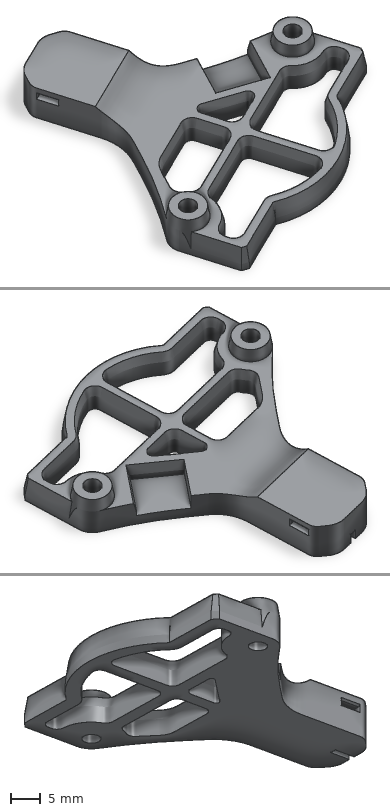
import cadquery as cq
import math


plate_top = 5.0
arm_top = 7.2
boss_top = 7.5
rim_draft_start = 1.5
opening_draft_start = 3.0

rim_draft = 9.0
opening_draft = 15.0

boss_y = 21.92
boss_radius = 3.67
hole_radius = 1.6

half_bend = math.radians(22.5)
half_width = boss_y + boss_radius
right_x = 12.3
dome_radius = 18.31
corner_chamfer = 1.0
flank_end_angle = math.radians(32.5)
flank_start = 12.5
blend_end_y = 9.8
blend_end_x = blend_end_y - 2 * flank_start

overall_length = 56.38
arm_end_x = dome_radius - overall_length
arm_y_low = -6.9
arm_y_high = 7.2
tip_chamfer = 3.0
tip_side_radius = 2.4
tip_end_radius = 4.0
ramp_end_x = -17.15
ramp_radius = 10.0

strap_slot_length = 4.0
strap_slot_x = arm_end_x + tip_chamfer + tip_side_radius * math.tan(half_bend)
strap_slot_floor = 4.5
strap_slot_ceiling = 5.65
strap_slot_flare = 0.35
notch_width = 1.26
notch_height = 2.0
notch_depth = 4.0

pocket_floor = 2.0
pocket_inner_edge = 9.12
pocket_low_end = -0.82
pocket_high_end = 8.97

rib_half_width = 0.7
rim_width = 1.53
rim_top_inset = (plate_top - rim_draft_start) * math.tan(math.radians(rim_draft))
opening_inset = (plate_top - opening_draft_start) * math.tan(math.radians(opening_draft))
opening_right = right_x - rim_top_inset - rim_width
opening_dome_radius = dome_radius - rim_top_inset - rim_width
opening_end_y = 23.75
boss_ring_radius = 5.6
opening_corner_radius = 1.5
opening_shoulder_radius = 3.0
triangle_hypotenuse = 10.9
triangle_tip_radius = 0.62
left_opening_x = -9.62
left_opening_slope = 22.45
left_opening_bend_radius = 3.7


def point_on_circle(center, radius, angle):
    return (center[0] + radius * math.cos(angle), center[1] + radius * math.sin(angle))


def rim_outline(left):
    """Right part of the plate: chamfered corners and the dome, closed by a straight edge at `left`."""
    shoulder_y = math.sqrt(dome_radius**2 - right_x**2)
    return (
        cq.Workplane("XY")
        .moveTo(left, -half_width)
        .lineTo(right_x - corner_chamfer, -half_width)
        .lineTo(right_x, -half_width + corner_chamfer)
        .lineTo(right_x, -shoulder_y)
        .threePointArc((dome_radius, 0), (right_x, shoulder_y))
        .lineTo(right_x, half_width - corner_chamfer)
        .lineTo(right_x - corner_chamfer, half_width)
        .lineTo(left, half_width)
        .close()
    )


def flank_half(side, arm_y):
    """Vertical-walled half of the left part of the part, from the arm to one boss (side is +1 or -1)."""
    boss_center = (0, side * boss_y)
    flank_end = point_on_circle(boss_center, boss_radius, side * (math.pi - flank_end_angle))
    corner_mid_angle = (math.pi - flank_end_angle + math.pi / 2) / 2
    corner_mid = point_on_circle(boss_center, boss_radius, side * corner_mid_angle)
    blend_rise = blend_end_y - abs(arm_y)
    blend_run = blend_rise / math.tan(half_bend)
    tip_side_setback = tip_side_radius * math.tan(half_bend)
    tip_end_setback = tip_end_radius * math.tan(half_bend)
    diagonal = math.sqrt(0.5)
    return (
        cq.Workplane("XY")
        .moveTo(arm_end_x, 0)
        .lineTo(arm_end_x, arm_y - side * (tip_chamfer + tip_end_setback))
        .tangentArcPoint(
            (
                arm_end_x + diagonal * tip_end_setback,
                arm_y - side * (tip_chamfer - diagonal * tip_end_setback),
            ),
            relative=False,
        )
        .lineTo(
            arm_end_x + tip_chamfer - diagonal * tip_side_setback,
            arm_y - side * diagonal * tip_side_setback,
        )
        .tangentArcPoint((arm_end_x + tip_chamfer + tip_side_setback, arm_y), relative=False)
        .lineTo(blend_end_x - blend_run, arm_y)
        .tangentArcPoint((blend_end_x, side * blend_end_y), relative=False)
        .lineTo(-flank_start, side * flank_start)
        .tangentArcPoint(flank_end, relative=False)
        .threePointArc(corner_mid, (0, side * half_width))
        .lineTo(0, 0)
        .close()
        .extrude(boss_top)
    )


def below_top_profile():
    """Side profile of arm, concave ramp and plate, swept across the whole width."""
    ramp_rise = arm_top - plate_top
    ramp_angle = math.acos(1 - ramp_rise / ramp_radius)
    ramp_center = (ramp_end_x, plate_top + ramp_radius)
    ramp_start = point_on_circle(ramp_center, ramp_radius, -math.pi / 2 - ramp_angle)
    ramp_mid = point_on_circle(ramp_center, ramp_radius, -math.pi / 2 - ramp_angle / 2)
    return (
        cq.Workplane("XZ")
        .moveTo(arm_end_x, 0)
        .lineTo(arm_end_x, arm_top)
        .lineTo(*ramp_start)
        .threePointArc(ramp_mid, (ramp_end_x, plate_top))
        .lineTo(dome_radius, plate_top)
        .lineTo(dome_radius, 0)
        .close()
        .extrude(half_width, both=True)
    )


def boss_cone(side):
    """Boss and its drafted root, which runs down to the start of the rim draft."""
    slope = math.tan(math.radians(rim_draft))
    root_radius = boss_radius + (plate_top - rim_draft_start) * slope
    return (
        cq.Workplane("XY", origin=(0, side * boss_y, rim_draft_start))
        .circle(root_radius)
        .extrude(boss_top - rim_draft_start, taper=rim_draft)
    )


def make_body():
    flanks = flank_half(1, arm_y_high).union(flank_half(-1, arm_y_low))
    outline = flanks.union(rim_outline(0).extrude(boss_top))
    drafted_rim = (
        rim_outline(-boss_radius).extrude(plate_top - rim_draft_start, taper=rim_draft)
        .translate((0, 0, rim_draft_start))
    )
    body = flanks.union(rim_outline(0).extrude(rim_draft_start)).union(drafted_rim)
    body = body.intersect(below_top_profile())
    for side in (1, -1):
        body = body.union(boss_cone(side))
    return body.intersect(outline)


def round_corner(core, corner, radius):
    """Fillet the vertical edge of the opening core that stands at `corner`."""
    nearest = cq.selectors.NearestToPointSelector((*corner, opening_draft_start / 2))
    return core.edges(nearest).fillet(radius)


def drafted_opening(core):
    """Through cutter: the straight core, widening from the draft start up to the plate top."""
    flare = (
        core.faces(">Z").wires().toPending()
        .workplane()
        .extrude(plate_top - opening_draft_start, taper=-opening_draft, combine=False)
    )
    return core.union(flare)


def right_opening(side):
    """Large opening between the cross ribs, the dome and one boss."""
    left = rib_half_width + opening_inset
    right = opening_right - opening_inset
    dome = opening_dome_radius - opening_inset
    ring = boss_ring_radius + opening_inset
    end_y = opening_end_y - opening_inset
    ring_left_y = boss_y - math.sqrt(ring**2 - left**2)
    ring_right_x = math.sqrt(ring**2 - (end_y - boss_y) ** 2)
    ring_mid = point_on_circle((0, boss_y), ring, -math.pi / 4)
    dome_start_x = math.sqrt(dome**2 - left**2)
    dome_end_y = math.sqrt(dome**2 - right**2)
    dome_mid = point_on_circle((0, 0), dome, math.atan2(dome_end_y, right) / 2)
    core = (
        cq.Workplane("XY")
        .moveTo(left, left)
        .lineTo(dome_start_x, left)
        .threePointArc(dome_mid, (right, dome_end_y))
        .lineTo(right, end_y)
        .lineTo(ring_right_x, end_y)
        .threePointArc(ring_mid, (left, ring_left_y))
        .close()
        .extrude(opening_draft_start)
    )
    core = round_corner(core, (right, dome_end_y), opening_shoulder_radius)
    for corner in (
        (left, left),
        (dome_start_x, left),
        (right, end_y),
        (ring_right_x, end_y),
        (left, ring_left_y),
    ):
        core = round_corner(core, corner, opening_corner_radius)
    cutter = drafted_opening(core)
    return cutter if side > 0 else cutter.mirror("XZ")


def triangle_opening():
    """Small triangular opening beside the pocket."""
    inset = rib_half_width + opening_inset
    slope = triangle_hypotenuse - opening_inset * math.sqrt(2)
    core = (
        cq.Workplane("XY")
        .moveTo(-inset, inset)
        .lineTo(inset - slope, inset)
        .lineTo(-inset, slope - inset)
        .close()
        .extrude(opening_draft_start)
    )
    core = round_corner(core, (-inset, inset), opening_corner_radius)
    core = round_corner(core, (inset - slope, inset), triangle_tip_radius)
    core = round_corner(core, (-inset, slope - inset), triangle_tip_radius)
    return drafted_opening(core)


def left_opening():
    """Opening between the ribs, the lower flank and the lower boss."""
    left = left_opening_x + opening_inset
    right = -rib_half_width - opening_inset
    slope = left_opening_slope - opening_inset * math.sqrt(2)
    ring = boss_ring_radius + opening_inset
    ring_right_y = -boss_y + math.sqrt(ring**2 - right**2)
    chord_distance = (boss_y - slope) / math.sqrt(2)
    ring_angle = math.radians(45) + math.acos(chord_distance / ring)
    slope_end = point_on_circle((0, -boss_y), ring, ring_angle)
    mid_angle = (ring_angle + math.atan2(ring_right_y + boss_y, right)) / 2
    ring_mid = point_on_circle((0, -boss_y), ring, mid_angle)
    core = (
        cq.Workplane("XY")
        .moveTo(right, right)
        .lineTo(left, right)
        .lineTo(left, -slope - left)
        .lineTo(*slope_end)
        .threePointArc(ring_mid, (right, ring_right_y))
        .close()
        .extrude(opening_draft_start)
    )
    core = round_corner(core, (left, -slope - left), left_opening_bend_radius)
    for corner in ((left, right), (right, right), slope_end, (right, ring_right_y)):
        core = round_corner(core, corner, opening_corner_radius)
    return drafted_opening(core)


def pocket():
    """Square pocket open through the upper flank; only the inner and upper walls are drafted."""
    reach = half_width
    floor_high_end = pocket_high_end - opening_inset
    floor_inner = pocket_inner_edge + opening_inset

    def rectangle(plane, x_high, y_low):
        return (
            plane
            .moveTo(pocket_low_end, y_low)
            .lineTo(x_high, y_low)
            .lineTo(x_high, reach)
            .lineTo(pocket_low_end, reach)
            .close()
        )

    lower = (
        rectangle(cq.Workplane("XY", origin=(0, 0, pocket_floor)), floor_high_end, floor_inner)
        .extrude(opening_draft_start - pocket_floor)
    )
    draft_base = cq.Workplane("XY", origin=(0, 0, opening_draft_start))
    draft_bottom = rectangle(draft_base, floor_high_end, floor_inner)
    draft_top_plane = draft_bottom.workplane(
        offset=plate_top - opening_draft_start, origin=(0, 0, opening_draft_start)
    )
    upper = rectangle(draft_top_plane, pocket_high_end, pocket_inner_edge).loft(ruled=True)
    return lower.union(upper).rotate((0, 0, 0), (0, 0, 1), 45)


def strap_slot():
    """Slot across the arm, its ceiling flared at both mouths."""
    flare_top = strap_slot_ceiling + strap_slot_flare
    return (
        cq.Workplane("YZ", origin=(strap_slot_x, 0, 0))
        .moveTo(arm_y_low, strap_slot_floor)
        .lineTo(arm_y_high, strap_slot_floor)
        .lineTo(arm_y_high, flare_top)
        .lineTo(arm_y_high - strap_slot_flare, strap_slot_ceiling)
        .lineTo(arm_y_low + strap_slot_flare, strap_slot_ceiling)
        .lineTo(arm_y_low, flare_top)
        .close()
        .extrude(strap_slot_length)
    )


def tip_notch():
    """Notch in the underside of the arm tip."""
    middle_y = (arm_y_low + arm_y_high) / 2
    return (
        cq.Workplane("XY")
        .box(notch_depth, notch_width, notch_height, centered=(False, True, False))
        .translate((arm_end_x, middle_y, 0))
    )


def boss_holes():
    return (
        cq.Workplane("XY")
        .pushPoints([(0, -boss_y), (0, boss_y)])
        .circle(hole_radius)
        .extrude(boss_top)
    )


result = make_body()
for cutter in (
    right_opening(1),
    right_opening(-1),
    triangle_opening(),
    left_opening(),
    pocket(),
    strap_slot(),
    tip_notch(),
    boss_holes(),
):
    result = result.cut(cutter)